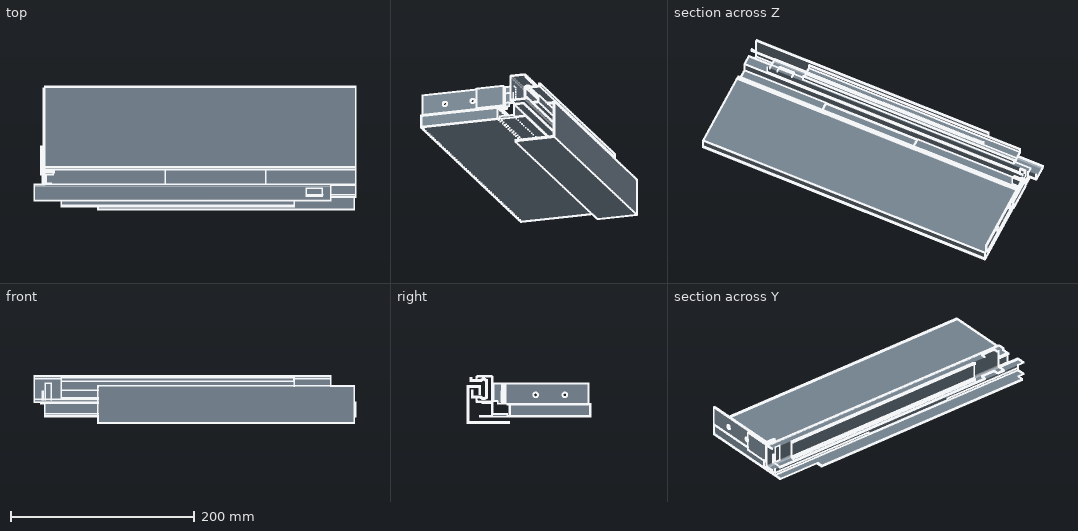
import cadquery as cq
import math


total_length = 351.5
total_width = 134.5
total_height = 51.5

thin_sheet = 1.0
slide_sheet = 1.5
profile_sheet = 1.8

profile_start = 69.5
profile_end = 349.7
profile_height = 40.8
profile_foot_width = 45.7
profile_hook_width = 14.0
profile_hook_bottom = 31.5
profile_hook_sheet = 1.0

middle_start = 29.5
middle_end = 284.0
middle_web_y = 21.5
middle_lip_top_y = 3.0
middle_lip_bottom_y = 4.5
middle_lip_top_z = 49.5
middle_lip_bottom_z = 36.2
middle_leg_top_z = 45.7
middle_leg_bottom_z = 27.8
groove_width = 7.5
groove_flat = 1.8
groove_depth = 1.8

rail_end = 324.0
rail_front_y = 9.5
rail_back_y = 27.8
rail_bottom = 23.0
rail_lip = 3.0
rail_top_radius = 2.0
rail_bottom_radius = 1.8
rail_slot_start = 297.5
rail_slot_length = 17.5
rail_slot_front_y = 14.8
rail_slot_width = 8.5

tray_start = 11.5
tray_bottom = 7.0
tray_front_y = 13.7
shelf_front_y = 16.0
box_front_y = 45.7
lid_front_y = 43.5
lid_top = 21.0
foot_height = 3.0
front_foot_end = 143.0
rear_foot_start = 253.0

plate_sheet = 1.5
plate_top = 43.5
plate_back_y = 132.5
plate_front_y = 40.5
plate_flange_end = 22.0
hole_diameter = 5.0
hole_height = 31.0
hole_places = (74.5, 106.5)

clip_sheet = 2.0
clip_start = 7.5
clip_back_y = 69.2
clip_flange_end = 21.0

hook_start = 9.0
hook_back_x = 13.5
hook_arm_end = 19.0
hook_fold_y = 38.0
hook_foot_front_y = 33.0
hook_low_z = 24.3
hook_step_z = 35.0


def slab(x_start, x_end, y_start, y_end, z_start, z_end):
    """Box between two corners."""
    size = (x_end - x_start, y_end - y_start, z_end - z_start)
    return cq.Workplane("XY").box(*size, centered=False).translate((x_start, y_start, z_start))


def left_offset(path, distance):
    """Points of an open path moved to its left, mitred at the bends."""
    headings = [math.atan2(b[1] - a[1], b[0] - a[0]) for a, b in zip(path, path[1:])]
    moved = []
    for point, before, after in zip(path, headings[:1] + headings, headings + headings[-1:]):
        turn = math.remainder(after - before, math.tau)
        normal = before + turn / 2 + math.pi / 2
        reach = distance / math.cos(turn / 2)
        moved.append((point[0] + reach * math.cos(normal), point[1] + reach * math.sin(normal)))
    return moved


def bent_sheet(path, thickness, x_start, x_end):
    """Sheet bent along a (Y, Z) path, with its material on the left of the path."""
    outline = path + left_offset(path, thickness)[::-1]
    section = cq.Workplane("YZ").workplane(offset=x_start).polyline(outline).close()
    return section.extrude(x_end - x_start)


def make_cabinet_profile():
    """Channel that is fixed to the cabinet, with a hook at its top."""
    path = [(profile_foot_width, 0), (0, 0), (0, profile_height), (profile_hook_width, profile_height)]
    channel = bent_sheet(path, -profile_sheet, profile_start, profile_end)
    hook = slab(
        profile_start, profile_end,
        profile_hook_width - profile_hook_sheet, profile_hook_width,
        profile_hook_bottom, profile_height,
    )
    return channel.union(hook)


def ball_groove(leg_z, direction):
    """Path points of the groove beside the web, from its leg end to its web end."""
    leg_end_y = middle_web_y - groove_width
    slope_width = (groove_width - groove_flat) / 2
    apex_z = leg_z + direction * groove_depth
    return [
        (leg_end_y, leg_z),
        (leg_end_y + slope_width, apex_z),
        (middle_web_y - slope_width, apex_z),
        (middle_web_y, leg_z),
    ]


def make_middle_slide():
    """Channel with a ball groove at both ends of its web and an upturned lip on both legs."""
    top_leg_z = middle_leg_top_z + slide_sheet
    lip_top_inner_y = middle_lip_top_y + slide_sheet
    path = [
        (middle_lip_bottom_y, middle_lip_bottom_z),
        (middle_lip_bottom_y, middle_leg_bottom_z),
        *ball_groove(middle_leg_bottom_z, -1),
        *reversed(ball_groove(top_leg_z, 1)),
        (lip_top_inner_y, top_leg_z),
        (lip_top_inner_y, middle_lip_top_z),
    ]
    return bent_sheet(path, slide_sheet, middle_start, middle_end)


def rail_bar(inset):
    """Full-length rounded bar, set in from the outside of the rail."""
    bar = slab(
        0, rail_end,
        rail_front_y + inset, rail_back_y - inset,
        rail_bottom + inset, total_height - inset,
    )
    bar = bar.edges("|X").edges(">Z").fillet(rail_top_radius - inset)
    return bar.edges("|X").edges("<Z").fillet(rail_bottom_radius - inset)


def make_drawer_rail():
    """Rounded C-shaped rail that opens to -Y, with a slot through its top and bottom."""
    mouth = slab(
        0, rail_end,
        rail_front_y, rail_front_y + rail_top_radius,
        rail_bottom + rail_lip, total_height - rail_lip,
    )
    slot = slab(
        rail_slot_start, rail_slot_start + rail_slot_length,
        rail_slot_front_y, rail_slot_front_y + rail_slot_width,
        rail_bottom, total_height,
    )
    return rail_bar(0).cut(rail_bar(thin_sheet)).cut(mouth).cut(slot)


def make_tray():
    """Floor with a hollow box on it, a shelf that carries the rail, and two feet behind the shelf."""
    floor = slab(
        tray_start, total_length, tray_front_y, total_width, tray_bottom, tray_bottom + thin_sheet
    )
    box = slab(tray_start, total_length, box_front_y, total_width, tray_bottom, lid_top)
    lid = slab(tray_start, total_length, lid_front_y, total_width, lid_top - thin_sheet, lid_top)
    shelf_path = [(shelf_front_y, rail_bottom), (rail_back_y, rail_bottom), (rail_back_y, tray_bottom)]
    shelf = bent_sheet(shelf_path, -thin_sheet, tray_start, total_length)
    tray = floor.union(box).union(lid).union(shelf)
    for foot_start, foot_end in ((tray_start, front_foot_end), (rear_foot_start, total_length)):
        foot = slab(
            foot_start, foot_end,
            rail_back_y - thin_sheet, lid_front_y,
            tray_bottom, tray_bottom + foot_height,
        )
        tray = tray.union(foot)
    return tray.cut(make_core())


def make_core():
    """Panel that fills the hollow box of the tray."""
    return slab(
        tray_start, total_length,
        box_front_y + thin_sheet, total_width - thin_sheet,
        tray_bottom + thin_sheet, lid_top - thin_sheet,
    )


def make_front_plate():
    """Upright plate across the drawer end, with two holes and a flange bent to +X."""
    plate_start = tray_start - plate_sheet
    plate = slab(plate_start, tray_start, plate_front_y, plate_back_y, lid_top, plate_top)
    flange = slab(
        plate_start, plate_flange_end, plate_front_y, plate_front_y + plate_sheet, lid_top, plate_top
    )
    holes = (
        cq.Workplane("YZ").workplane(offset=plate_start)
        .pushPoints([(y, hole_height) for y in hole_places])
        .circle(hole_diameter / 2).extrude(plate_sheet)
    )
    return plate.union(flange).cut(holes)


def make_front_clip():
    """Angle in front of the plate, with a flange that lies against the flange of the plate."""
    flange_front_y = plate_front_y - clip_sheet
    cover = slab(
        clip_start, clip_start + clip_sheet, flange_front_y, clip_back_y, lid_top, plate_top
    )
    flange = slab(
        clip_start, clip_flange_end, flange_front_y, plate_front_y, lid_top, plate_top
    )
    return cover.union(flange)


def make_rail_hook():
    """Folded sheet between the clip and the rail, with an arm that lies on the back of the rail."""
    back_start = hook_back_x - thin_sheet
    fold_front_y = hook_fold_y - thin_sheet
    tongue = slab(
        hook_start, hook_start + thin_sheet, rail_back_y, hook_fold_y, hook_low_z, hook_step_z
    )
    fold = slab(hook_start, hook_back_x, fold_front_y, hook_fold_y, hook_low_z, hook_step_z)
    back = slab(back_start, hook_back_x, rail_back_y, hook_fold_y, hook_low_z, plate_top)
    foot = slab(back_start, hook_back_x, hook_foot_front_y, hook_fold_y, lid_top, hook_low_z)
    arm = slab(
        back_start, hook_arm_end, rail_back_y, rail_back_y + thin_sheet, hook_low_z, plate_top
    )
    return tongue.union(fold).union(back).union(foot).union(arm)


cabinet_profile = make_cabinet_profile()
middle_slide = make_middle_slide()
drawer_rail = make_drawer_rail()
tray = make_tray()
core = make_core()
front_plate = make_front_plate()
front_clip = make_front_clip()
rail_hook = make_rail_hook()

result = cq.Compound.makeCompound([
    cabinet_profile.val(),
    middle_slide.val(),
    drawer_rail.val(),
    tray.val(),
    core.val(),
    front_plate.val(),
    front_clip.val(),
    rail_hook.val(),
])